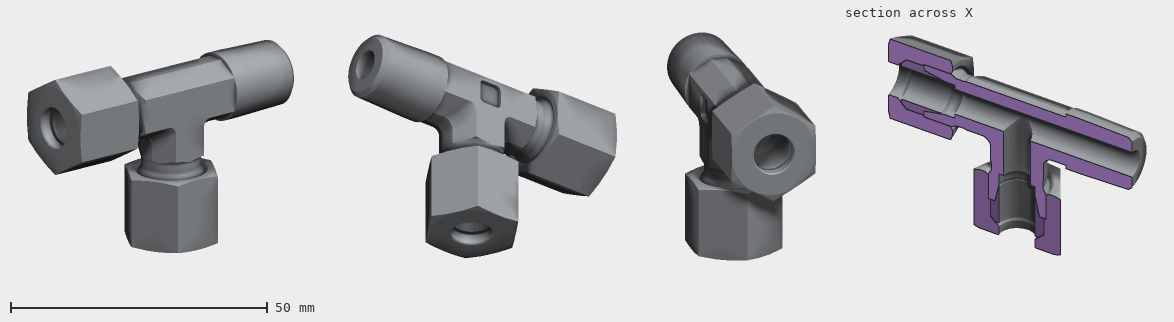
import cadquery as cq
import math


bar_width = 12.0
valley_fillet = 2.0
bore_diameter = 6.0

bar_end = 11.0
neck_diameter = 11.7
neck_fillet = 1.0
neck_end = 13.36
thread_diameter = 13.1
thread_run_in = math.radians(30)
body_end = 21.0
tube_diameter = 8.0
tube_stop = 14.0
mouth_diameter = 10.0
mouth_slope = math.radians(12)
mouth_depth = (mouth_diameter - tube_diameter) / 2 / math.tan(mouth_slope)

stud_start = 11.0
stud_diameter = 13.63
collar_end = 14.0
stud_end = 26.0
stud_chamfer = 0.9
taper_per_length = 1 / 16

recess_size = 5.0
recess_corner = 1.0
recess_depth = 1.0

nut_width = 17.0
nut_length = 14.5
nut_face = 29.0
nut_back = nut_face - nut_length
nut_face_circle = 16.8
nut_chamfer_slope = math.radians(15)
nut_bore_chamfer = 0.22
nut_bore_length = 2.1
cone_start = nut_face - nut_bore_length
nut_cavity_diameter = 12.0
nut_mouth_diameter = 14.5
nut_mouth_slope = math.radians(60)

ring_setback = 0.8
ring_nose_length = 4.0


def revolve_about_z(profile):
    return profile.close().revolve(360, (0, 0), (0, 1))


def profile_at(radius, distance):
    """Start a profile in the XZ plane at a radius and a distance down the branch axis."""
    return cq.Workplane("XZ").moveTo(radius, -distance)


def keep_on_branch(branch_part):
    return branch_part


def hexagon(width, start, length):
    """Hexagonal prism down the branch axis, with flats on +-X and corners on +-Y."""
    corner_diameter = 2 * width / math.sqrt(3)
    return (cq.Workplane("XY").workplane(offset=-start)
            .transformed(rotate=(0, 0, 90)).polygon(6, corner_diameter).extrude(-length))


def turn_to_run(branch_part):
    """Swing a part from the branch axis (-Z) to the run axis (-Y)."""
    return branch_part.rotate((0, 0, 0), (1, 0, 0), -90)


port_placements = (keep_on_branch, turn_to_run)


def hex_bar(start, end):
    """Hexagonal bar down the branch axis, with its +-Y corners cut off flat."""
    corner_cut = cq.Workplane("XY").box(bar_width, bar_width, 4 * stud_end)
    return hexagon(bar_width, start, end - start).intersect(corner_cut)


def is_valley_edge(edge):
    """True for the edges where the branch bar meets the underside of the run bar."""
    ends = (edge.startPoint(), edge.endPoint())
    return all(end.z < 0 and math.isclose(abs(end.y), -end.z) for end in ends)


def neck_shoulder_cutter():
    """Ring that rounds the end of a bar down to the neck."""
    neck_radius = neck_diameter / 2
    arc_offset = neck_fillet * (1 - math.sqrt(0.5))
    return revolve_about_z(
        profile_at(neck_radius, bar_end + neck_fillet)
        .threePointArc((neck_radius + arc_offset, -bar_end - arc_offset),
                       (neck_radius + neck_fillet, -bar_end))
        .lineTo(bar_width, -bar_end)
        .lineTo(bar_width, -bar_end - neck_fillet)
    )


def port_stem():
    """Neck, flared thread start and threaded end of one port."""
    neck_radius = neck_diameter / 2
    thread_radius = thread_diameter / 2
    fillet_rise = neck_fillet * (1 - math.cos(thread_run_in))
    flare_start = neck_end + neck_fillet * math.sin(thread_run_in)
    flare_length = (thread_radius - neck_radius - fillet_rise) / math.tan(thread_run_in)
    half_turn = thread_run_in / 2
    return revolve_about_z(
        profile_at(0, 0)
        .lineTo(neck_radius, 0)
        .lineTo(neck_radius, -neck_end)
        .threePointArc((neck_radius + neck_fillet * (1 - math.cos(half_turn)),
                        -neck_end - neck_fillet * math.sin(half_turn)),
                       (neck_radius + fillet_rise, -flare_start))
        .lineTo(thread_radius, -flare_start - flare_length)
        .lineTo(thread_radius, -body_end)
        .lineTo(0, -body_end)
    )


def port_bore():
    """Conical mouth, tube socket and flow bore of one port."""
    return revolve_about_z(
        profile_at(0, 0)
        .lineTo(bore_diameter / 2, 0)
        .lineTo(bore_diameter / 2, -tube_stop)
        .lineTo(tube_diameter / 2, -tube_stop)
        .lineTo(tube_diameter / 2, -body_end + mouth_depth)
        .lineTo(mouth_diameter / 2, -body_end)
        .lineTo(0, -body_end)
    )


def taper_stud():
    """Collar and taper thread, pointing along +Y."""
    taper_end = stud_end - stud_chamfer
    taper_end_radius = (stud_diameter - taper_per_length * (taper_end - collar_end)) / 2
    return (cq.Workplane("YZ")
            .moveTo(stud_start, 0)
            .lineTo(stud_start, stud_diameter / 2)
            .lineTo(collar_end, stud_diameter / 2)
            .lineTo(taper_end, taper_end_radius)
            .lineTo(stud_end, taper_end_radius - stud_chamfer)
            .lineTo(stud_end, 0)
            .close().revolve(360, (0, 0), (1, 0)))


def marking_recess():
    return (cq.Workplane("YZ").workplane(offset=-bar_width / 2)
            .rect(recess_size, recess_size).extrude(recess_depth)
            .edges("|X").fillet(recess_corner))


def make_body():
    run_bar = turn_to_run(hex_bar(-stud_start, bar_end + neck_fillet))
    body = run_bar.union(hex_bar(0, bar_end + neck_fillet)).clean()
    body = body.edges().filter(is_valley_edge).fillet(valley_fillet)
    for place in port_placements:
        body = body.cut(place(neck_shoulder_cutter()))
        body = body.union(place(port_stem()))
    body = body.union(taper_stud())
    for place in port_placements:
        body = body.cut(place(port_bore()))
    stud_bore = cq.Workplane("XZ").circle(bore_diameter / 2).extrude(-stud_end)
    return body.cut(stud_bore).cut(marking_recess())


def make_nut():
    """Hexagonal nut of the branch port, open through its whole length, with a coned cavity for the ring."""
    corner_radius = nut_width / math.sqrt(3)
    chamfer_depth = (corner_radius - nut_face_circle / 2) * math.tan(nut_chamfer_slope)
    outside = revolve_about_z(
        profile_at(0, nut_back)
        .lineTo(nut_face_circle / 2, -nut_back)
        .lineTo(corner_radius, -nut_back - chamfer_depth)
        .lineTo(corner_radius, -nut_face + chamfer_depth)
        .lineTo(nut_face_circle / 2, -nut_face)
        .lineTo(0, -nut_face)
    )
    mouth_run = (nut_mouth_diameter - thread_diameter) / 2 / math.tan(nut_mouth_slope)
    inside = revolve_about_z(
        profile_at(0, nut_back)
        .lineTo(nut_mouth_diameter / 2, -nut_back)
        .lineTo(thread_diameter / 2, -nut_back - mouth_run)
        .lineTo(thread_diameter / 2, -body_end)
        .lineTo(nut_cavity_diameter / 2, -body_end)
        .lineTo(nut_cavity_diameter / 2, -cone_start + (nut_cavity_diameter - tube_diameter) / 2)
        .lineTo(tube_diameter / 2, -cone_start)
        .lineTo(tube_diameter / 2, -nut_face + nut_bore_chamfer)
        .lineTo(tube_diameter / 2 + nut_bore_chamfer, -nut_face)
        .lineTo(0, -nut_face)
    )
    return hexagon(nut_width, nut_back, nut_length).intersect(outside).cut(inside)


def make_ring():
    """Cutting ring of the branch port: collar in the nut, tapered nose in the body."""
    bore_radius = tube_diameter / 2
    collar_radius = nut_cavity_diameter / 2
    nose_tip_radius = mouth_diameter / 2 - ring_nose_length * math.tan(mouth_slope)
    return revolve_about_z(
        profile_at(bore_radius, cone_start - ring_setback)
        .lineTo(bore_radius + ring_setback, -cone_start + ring_setback)
        .lineTo(collar_radius, -cone_start + collar_radius - bore_radius)
        .lineTo(collar_radius, -body_end)
        .lineTo(mouth_diameter / 2, -body_end)
        .lineTo(nose_tip_radius, -body_end + ring_nose_length)
        .lineTo(bore_radius, -body_end + ring_nose_length)
    )


body = make_body()
solids = [body.solids().val()]
for place in port_placements:
    nut = place(make_nut())
    ring = place(make_ring())
    solids += [nut.solids().val(), ring.solids().val()]
result = cq.Compound.makeCompound(solids)